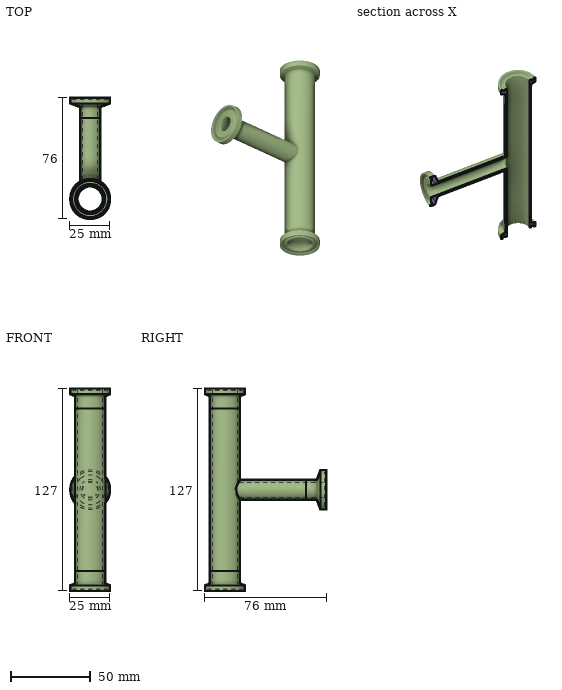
import cadquery as cq
import math

run_length = 127.0
branch_reach = 63.5
ferrule_length = 12.7
run_outer_radius = 9.5
run_bore_radius = 7.9
branch_outer_radius = 6.4
branch_bore_radius = 4.7

flange_diameter = 25.0
flange_radius = flange_diameter / 2
rim_thickness = 3.7
clamp_angle = 20.0
neck_fillet = 1.0

groove_outer_radius = 11.4
groove_wall_radius = 10.9
groove_wall_depth = 0.9
groove_floor_radius = 10.3
groove_floor_depth = 1.3
lip_inner_radius = 8.9
lip_depth = 0.5
lip_rounding = 0.5
lip_outer_radius = lip_inner_radius + lip_rounding
lip_outer_depth = lip_depth + lip_rounding
bore_edge_chamfer = 0.4


def make_tee():
    """Run tube and branch tube as one body, both bored through into each other."""
    tube_length = run_length - 2 * ferrule_length
    branch_length = branch_reach - ferrule_length

    def run_cylinder(radius):
        return cq.Workplane("XY").circle(radius).extrude(tube_length / 2, both=True)

    def branch_cylinder(radius):
        return cq.Workplane("XZ").circle(radius).extrude(-branch_length)

    outside = run_cylinder(run_outer_radius).union(branch_cylinder(branch_outer_radius))
    return outside.cut(run_cylinder(run_bore_radius)).cut(branch_cylinder(branch_bore_radius))


def make_ferrule(plane, outer_radius, bore_radius):
    """Ferrule revolved about the local Y axis of the plane, its flange face at the origin."""
    slope = math.radians(clamp_angle)
    fillet_center_radius = outer_radius + neck_fillet
    cone_end_radius = fillet_center_radius - neck_fillet * math.sin(slope)
    cone_end_depth = rim_thickness + (flange_radius - cone_end_radius) * math.tan(slope)
    neck_depth = cone_end_depth + neck_fillet * math.cos(slope)
    middle_angle = (math.pi / 2 - slope) / 2
    fillet_middle = (
        fillet_center_radius - neck_fillet * math.cos(middle_angle),
        -(neck_depth - neck_fillet * math.sin(middle_angle)),
    )
    half_round = lip_rounding * math.sqrt(0.5)
    lip_middle = (lip_inner_radius + half_round, -(lip_outer_depth - half_round))

    profile = (
        cq.Workplane(plane)
        .moveTo(bore_radius, -(lip_depth + bore_edge_chamfer))
        .lineTo(bore_radius + bore_edge_chamfer, -lip_depth)
        .lineTo(lip_inner_radius, -lip_depth)
        .threePointArc(lip_middle, (lip_outer_radius, -lip_outer_depth))
        .threePointArc(
            (groove_floor_radius, -groove_floor_depth),
            (groove_wall_radius, -groove_wall_depth),
        )
        .lineTo(groove_outer_radius, 0)
        .lineTo(flange_radius, 0)
        .lineTo(flange_radius, -rim_thickness)
        .lineTo(cone_end_radius, -cone_end_depth)
        .threePointArc(fillet_middle, (outer_radius, -neck_depth))
        .lineTo(outer_radius, -ferrule_length)
        .lineTo(bore_radius, -ferrule_length)
        .close()
    )
    return profile.revolve(360, (0, 0), (0, 1))


def profile_plane(center, axis):
    """Plane whose local Y is the outward ferrule axis and whose local X is radial."""
    radial = cq.Vector(1, 0, 0)
    return cq.Plane(origin=center, xDir=radial, normal=radial.cross(cq.Vector(*axis)))


tee = make_tee()

run_ferrules = []
for side in (1, -1):
    end_plane = profile_plane((0, 0, side * run_length / 2), (0, 0, side))
    run_ferrules.append(make_ferrule(end_plane, run_outer_radius, run_bore_radius))

branch_plane = profile_plane((0, branch_reach, 0), (0, 1, 0))
branch_ferrule = make_ferrule(branch_plane, branch_outer_radius, branch_bore_radius)

result = cq.Compound.makeCompound([
    tee.val(),
    *[ferrule.val() for ferrule in run_ferrules],
    branch_ferrule.val(),
])